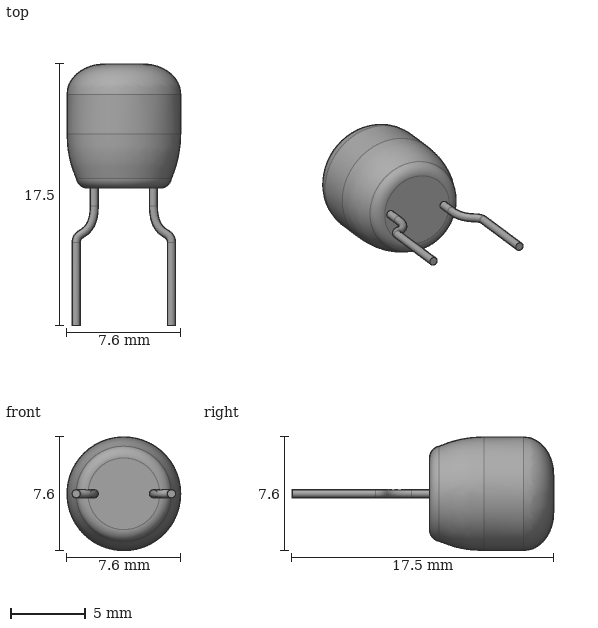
import cadquery as cq
import math

body_diameter = 7.6
body_radius = body_diameter / 2
body_length = 8.3
base_face_radius = 2.4
base_round_radius = 3.18
base_round_height = 0.65
belt_start = 3.63
belt_end = 6.27
crown_flat_radius = 1.25

lead_diameter = 0.54
lead_length = 9.17
root_offset = 1.97
tip_offset = 3.18
root_straight = 1.19
bend_length = 2.43
bend_middle_offset = 2.64
bend_middle_height = 0.7
lead_embed = 0.35


def make_body():
    """Revolve the half profile (X = radius, Y = height) about the Y axis."""
    crown_width = body_radius - crown_flat_radius
    crown_height = body_length - belt_end

    round_width = base_round_radius - base_face_radius
    round_radius = (round_width**2 + base_round_height**2) / (2 * base_round_height)
    half_sweep = math.atan2(base_round_height, round_width)
    round_middle = (
        base_face_radius + round_radius * math.sin(half_sweep),
        round_radius * (1 - math.cos(half_sweep)),
    )

    profile = (
        cq.Workplane("XY")
        .lineTo(base_face_radius, 0)
        .threePointArc(round_middle, (base_round_radius, base_round_height))
    )

    flank_height = belt_start - base_round_height
    flank_inset = body_radius - base_round_radius
    flank_radius = (flank_height**2 + flank_inset**2) / (2 * flank_inset)
    flank_half_sweep = math.atan2(flank_inset, flank_height)
    flank_middle = (
        body_radius - flank_radius * (1 - math.cos(flank_half_sweep)),
        belt_start - flank_radius * math.sin(flank_half_sweep),
    )
    profile = (
        profile.threePointArc(flank_middle, (body_radius, belt_start))
        .lineTo(body_radius, belt_end)
        .ellipseArc(crown_width, crown_height, 0, 90, startAtCurrent=True)
        .lineTo(0, body_length)
        .close()
    )
    return profile.revolve(360, (0, 0, 0), (0, 1, 0))


def make_lead():
    """Sweep the wire on the +X side along straight, smooth S-bend, straight."""
    bend_start = -root_straight
    bend_end = bend_start - bend_length
    toward_tip = (0, -1)

    path = (
        cq.Workplane("XY")
        .moveTo(root_offset, lead_embed)
        .lineTo(root_offset, bend_start)
        .spline(
            [(bend_middle_offset, bend_end + bend_middle_height), (tip_offset, bend_end)],
            tangents=[toward_tip, toward_tip],
            includeCurrent=True,
        )
        .lineTo(tip_offset, -lead_length)
    )
    section = cq.Workplane("XZ", origin=(root_offset, lead_embed, 0)).circle(lead_diameter / 2)
    return section.sweep(path)


lead = make_lead()
result = make_body().union(lead).union(lead.mirror("YZ"))